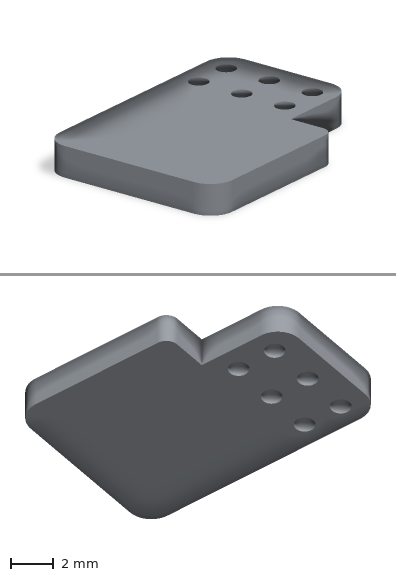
import cadquery as cq

width = 10.16
length = 13.97
thickness = 1.6
corner_radius = 1.27

tab_width = 7.62
notch_length = 4.8
shoulder_radius = 0.635

hole_diameter = 1.02
hole_columns = 3
hole_rows = 2
column_pitch = 2.54
row_pitch = 2.14
top_row_inset = 1.45

shoulder_y = length - notch_length


def make_plate():
    """L-shaped plate with its lower-left outline corner at the origin."""
    plate = (
        cq.Workplane("XY")
        .polyline([
            (0, 0),
            (width, 0),
            (width, shoulder_y),
            (tab_width, shoulder_y),
            (tab_width, length),
            (0, length),
        ])
        .close()
        .extrude(thickness)
    )
    large_corners = [(0, 0), (width, 0), (tab_width, length), (0, length)]
    for corner in large_corners:
        plate = round_corner(plate, corner, corner_radius)
    return round_corner(plate, (width, shoulder_y), shoulder_radius)


def round_corner(plate, corner, radius):
    """Fillet the vertical edge nearest to an outline corner."""
    x, y = corner
    edge = cq.selectors.NearestToPointSelector((x, y, thickness / 2))
    return plate.edges("|Z").edges(edge).fillet(radius)


def drill_holes(plate):
    """Through holes in a grid centred across the tab width."""
    grid_center_x = tab_width / 2
    grid_center_y = length - top_row_inset - (hole_rows - 1) * row_pitch / 2
    holes = (
        cq.Workplane("XY")
        .center(grid_center_x, grid_center_y)
        .rarray(column_pitch, row_pitch, hole_columns, hole_rows)
        .circle(hole_diameter / 2)
        .extrude(thickness)
    )
    return plate.cut(holes)


result = drill_holes(make_plate())